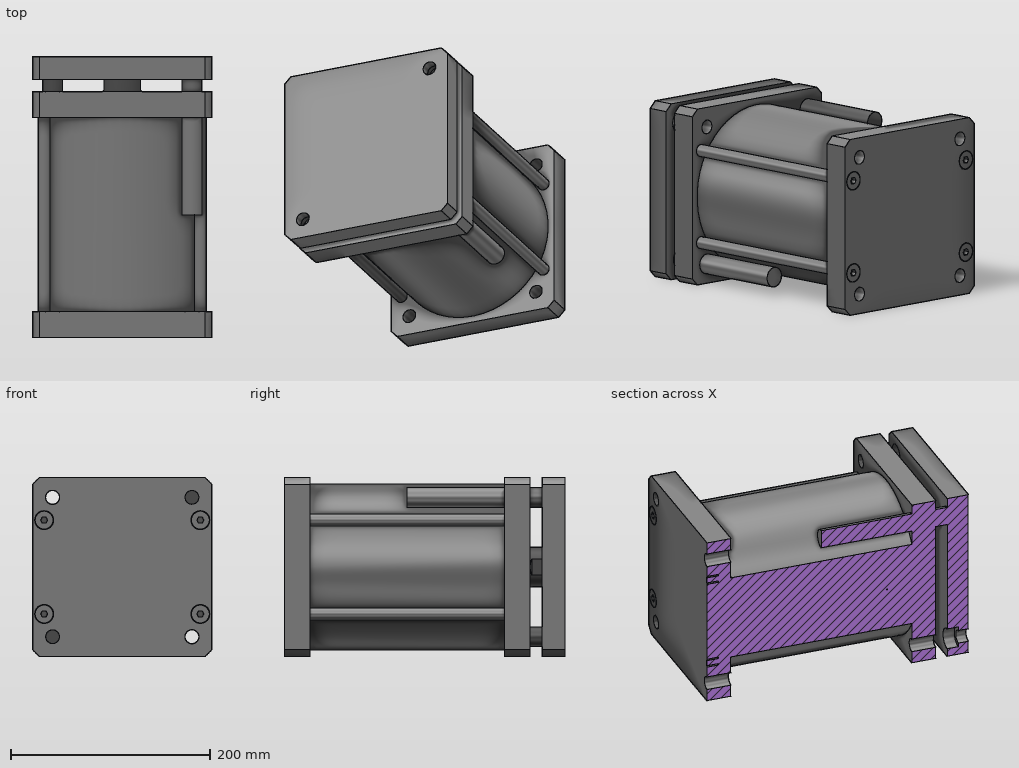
import cadquery as cq

plate_side = 180.0
corner_circle_diameter = 244.8
front_plate_thickness = 26.0
middle_plate_thickness = 26.0
back_plate_thickness = 23.0
overall_length = 282.0
plate_gap = 12.0

back_plate_y = overall_length - back_plate_thickness
middle_plate_y = back_plate_y - plate_gap - middle_plate_thickness
barrel_length = middle_plate_y - front_plate_thickness

barrel_diameter = 167.0
piston_rod_diameter = 40.0
piston_rod_across_flats = 36.7
flat_length = 10.5

tie_rod_diameter = 12.0
tie_rod_x = 78.5
tie_rod_z = 47.0
screw_head_diameter = 18.0
screw_recess_diameter = 19.0
screw_recess_depth = 12.0
hex_across_corners = 7.0
hex_depth = 6.0

corner_offset = 70.0
corner_hole_diameter = 13.8
guide_rod_diameter = 20.0
guide_rod_front_y = 123.2
back_recess_diameter = 22.0
back_recess_depth = 12.0

tie_rod_points = [(x, z) for x in (-tie_rod_x, tie_rod_x) for z in (-tie_rod_z, tie_rod_z)]
guide_rod_points = [(s * corner_offset, s * corner_offset) for s in (-1, 1)]
open_hole_points = [(s * corner_offset, -s * corner_offset) for s in (-1, 1)]


def section_plane(y):
    """Plane across the axis at Y = y: local x is X, local y is Z, and the normal points to -Y."""
    return cq.Workplane(cq.Plane(origin=(0, y, 0), xDir=(1, 0, 0), normal=(0, -1, 0)))


def plate(y, thickness):
    """Square plate with its corners turned to a circle, from y to y + thickness."""
    block = section_plane(y).rect(plate_side, plate_side).extrude(-thickness)
    return block.intersect(rods([(0, 0)], corner_circle_diameter, y, thickness))


def rods(points, diameter, y, length):
    """Round bars along +Y from y, one at each (x, z) point."""
    return section_plane(y).pushPoints(points).circle(diameter / 2).extrude(-length)


def front_plate():
    body = plate(0, front_plate_thickness)
    holes = guide_rod_points + open_hole_points
    body = body.cut(rods(holes, corner_hole_diameter, 0, front_plate_thickness))
    body = body.cut(rods(tie_rod_points, screw_recess_diameter, 0, screw_recess_depth))
    body = body.union(rods(tie_rod_points, screw_head_diameter, 0, screw_recess_depth))
    sockets = section_plane(0).pushPoints(tie_rod_points).polygon(6, hex_across_corners)
    return body.cut(sockets.extrude(-hex_depth))


def middle_plate():
    body = plate(middle_plate_y, middle_plate_thickness)
    return body.cut(rods(open_hole_points, corner_hole_diameter, middle_plate_y, middle_plate_thickness))


def back_plate():
    body = plate(back_plate_y, back_plate_thickness)
    body = body.cut(rods(open_hole_points, corner_hole_diameter, back_plate_y, back_plate_thickness))
    return body.cut(rods(open_hole_points, back_recess_diameter, back_plate_y, back_recess_depth))


def piston_rod():
    """Rod bridging the plate gap, with wrench flats facing +X and -X that run out at 45 degrees."""
    rod = rods([(0, 0)], piston_rod_diameter, back_plate_y - plate_gap, plate_gap)
    flat_x = piston_rod_across_flats / 2
    runout = plate_gap - flat_length
    outline = (
        cq.Workplane("XY")
        .moveTo(-flat_x, back_plate_y)
        .lineTo(flat_x, back_plate_y)
        .lineTo(flat_x, back_plate_y - flat_length)
        .lineTo(flat_x + runout, back_plate_y - plate_gap)
        .lineTo(-flat_x - runout, back_plate_y - plate_gap)
        .lineTo(-flat_x, back_plate_y - flat_length)
        .close()
    )
    return rod.intersect(outline.extrude(piston_rod_diameter, both=True))


barrel = rods([(0, 0)], barrel_diameter, front_plate_thickness, barrel_length)
tie_rods = rods(tie_rod_points, tie_rod_diameter, front_plate_thickness, barrel_length)
guide_rods = rods(guide_rod_points, guide_rod_diameter, guide_rod_front_y, back_plate_y - guide_rod_front_y)

result = front_plate()
for component in (barrel, tie_rods, middle_plate(), guide_rods, piston_rod(), back_plate()):
    result = result.union(component)